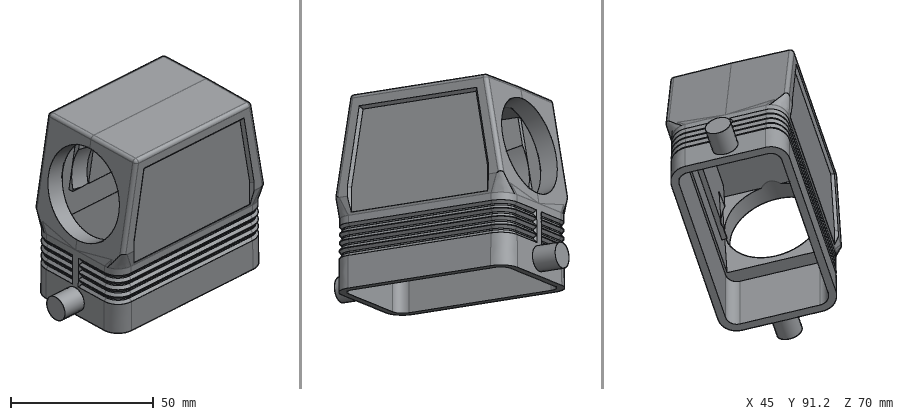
import cadquery as cq
import math


base_width = 43.1
base_length = 72.6
base_radius = 6.8
base_draft = 0.6
collar_top = 26.4

body_width = 45.0
body_top = 70.0
end_lean = 10.0
side_draft = 0.5
body_fillet = 1.5
shoulder_rise = 6.7
shoulder_radius = 2.4
shoulder_end_slope = 0.17
brow_slope = 0.22

groove_count = 4
groove_pitch = 3.0
lowest_groove = 13.3
groove_mouth = 2.8
groove_floor = 0.55
groove_depth = 0.9
bridge_width = 2.7

panel_top = 65.2
panel_bend = 36.5
panel_floor_bottom = 27.45
panel_top_half = 24.3
panel_bend_half = 29.2
panel_depth = 1.1
panel_wall_angle = 45.0

peg_radius = 4.65
peg_height = 6.4
pegs_span = 91.2

entry_diameter = 35.7
entry_height = 47.9
entry_depth = 19.4

socket_wall = 2.8
socket_radius = 4.1
front_wall = 7.3
back_wall = 3.65
rear_ledge = 20.1
chamber_half = 18.0
chamber_top = 37.4
front_bay_length = 4.7
channel_half = 16.05
rear_channel_half = 12.7
rear_channel_radius = 3.3
ceiling = 63.8
rib_width = 2.7
rib_flare = 0.25
rib_bottom = 13.0
rib_top = 45.1

lean = math.tan(math.radians(end_lean))
collar_inset = collar_top * math.tan(math.radians(base_draft))
collar_width = base_width - 2 * collar_inset
collar_length = base_length - 2 * collar_inset
collar_radius = base_radius - collar_inset


def end_half(z):
    """Distance of the leaning end faces from the middle plane at height z."""
    return collar_length / 2 - (z - collar_top) * lean


def rounded_slab(width, length, radius, z, height, taper=0.0):
    slab = cq.Workplane("XY", origin=(0, 0, z)).sketch().rect(width, length).vertices().fillet(radius)
    return slab.finalize().extrude(height, taper=taper)


def shoulder(rise, end_slope):
    """Block that widens upwards from the collar outline while its corners tighten."""
    side_slope = (body_width - collar_width) / 2 / shoulder_rise
    radius = collar_radius - (collar_radius - shoulder_radius) * rise / shoulder_rise
    lower = cq.Sketch().rect(collar_width, collar_length).vertices().fillet(collar_radius)
    upper = cq.Sketch().rect(collar_width + 2 * side_slope * rise, collar_length - 2 * end_slope * rise)
    upper = upper.vertices().fillet(radius).moved(cq.Location(cq.Vector(0, 0, rise)))
    return cq.Workplane("XY", origin=(0, 0, collar_top)).placeSketch(lower, upper).loft(ruled=True)


def upper_body():
    skirt = 1.8
    low = collar_top - skirt
    outline = [
        (-end_half(low), low),
        (end_half(low), low),
        (end_half(body_top), body_top),
        (-end_half(body_top), body_top),
    ]
    half = cq.Workplane("YZ").polyline(outline).close().extrude(body_width / 2, taper=side_draft)
    off_seam = body_width / 8
    rounded = cq.selectors.BoxSelector(
        (off_seam, -base_length, collar_top), (body_width, base_length, 2 * body_top))
    half = half.edges(rounded).fillet(body_fillet)
    body = half.union(half.mirror("YZ"))

    clip_rise = 1.3 * shoulder_rise
    clip_top = collar_top + clip_rise
    clip = shoulder(clip_rise, shoulder_end_slope).union(
        cq.Workplane("XY", origin=(0, 0, clip_top)).rect(2 * body_width, 2 * base_length).extrude(body_top))
    return body.intersect(clip).union(shoulder(shoulder_rise, brow_slope))


def groove_ring(z):
    """Trapezoidal groove around the collar, centred at height z."""
    inset = z * math.tan(math.radians(base_draft))
    width = base_width - 2 * inset
    length = base_length - 2 * inset
    radius = base_radius - inset
    flank = (groove_mouth - groove_floor) / 2
    flank_angle = math.degrees(math.atan2(groove_depth, flank))
    lower = rounded_slab(width, length, radius, z - groove_mouth / 2, flank, flank_angle)
    upper = rounded_slab(width, length, radius, z + groove_mouth / 2, -flank, flank_angle)
    middle = rounded_slab(width - 2 * groove_depth, length - 2 * groove_depth, radius - groove_depth,
                          z - groove_floor / 2, groove_floor)
    band = cq.Workplane("XY", origin=(0, 0, z - groove_mouth / 2))
    band = band.rect(2 * base_width, 2 * base_length).extrude(groove_mouth)
    return band.cut(lower).cut(middle).cut(upper)


def bridges():
    """Strip at each end, widening inwards, where the grooves stop."""
    outer = base_length / 2 + groove_depth
    inner = base_length / 2 - 2 * groove_depth
    outer_half = bridge_width / 2 - groove_depth
    inner_half = bridge_width / 2 + 2 * groove_depth
    outline = [(-outer_half, outer), (outer_half, outer), (inner_half, inner), (-inner_half, inner)]
    strip = cq.Workplane("XY").polyline(outline).close().extrude(collar_top)
    return strip.union(strip.mirror("XZ"))


def grooved_base():
    base = rounded_slab(base_width, base_length, base_radius, 0, collar_top, base_draft)
    kept = bridges()
    for i in range(groove_count):
        base = base.cut(groove_ring(lowest_groove + i * groove_pitch).cut(kept))
    return base


def side_panel():
    """Sunken panel with sloping walls on the +X side, running out through the shoulder below."""
    low = panel_floor_bottom - panel_depth
    outline = [
        (-panel_bend_half, low),
        (panel_bend_half, low),
        (panel_bend_half, panel_bend),
        (panel_top_half, panel_top),
        (-panel_top_half, panel_top),
        (-panel_bend_half, panel_bend),
    ]
    plane = cq.Workplane("YZ", origin=(body_width / 2, 0, 0))
    return plane.polyline(outline).close().extrude(-panel_depth, taper=panel_wall_angle)


def hollow_block(half_width, top, length=None):
    """Block between the leaning inner end walls; a length limits it, measured from the front wall."""
    def front(z):
        return front_wall - end_half(z)

    def back(z):
        return end_half(z) - back_wall if length is None else front(z) + length

    low = collar_top
    outline = [(front(low), low), (back(low), low), (back(top), top), (front(top), top)]
    return cq.Workplane("YZ").polyline(outline).close().extrude(half_width, both=True)


def back_rib():
    """Upright rib on the leaning back wall, wider towards its root."""
    front = end_half(rib_top) - back_wall
    root = base_length / 2
    front_half = rib_width / 2
    root_half = front_half + rib_flare * (root - front)
    outline = [(-front_half, front), (front_half, front), (root_half, root), (-root_half, root)]
    plane = cq.Workplane("XY", origin=(0, 0, rib_bottom))
    return plane.polyline(outline).close().extrude(rib_top - rib_bottom)


def cavity():
    socket_width = base_width - 2 * socket_wall
    socket_length = base_length - 2 * socket_wall
    socket = rounded_slab(socket_width, socket_length, socket_radius, 0, collar_top)
    front_bay = hollow_block(chamber_half, ceiling, front_bay_length)
    rear_channel = hollow_block(rear_channel_half, ceiling)
    rear_channel = rear_channel.faces(">Y").edges("not |X").fillet(rear_channel_radius)
    before_ledge = cq.Workplane("XY").box(base_width, base_length, body_top, centered=(True, False, False))
    before_ledge = before_ledge.translate((0, rear_ledge - base_length, 0))
    wide_part = hollow_block(chamber_half, chamber_top).union(hollow_block(channel_half, ceiling))
    wide_part = wide_part.intersect(before_ledge)
    return socket.union(wide_part).union(front_bay).union(rear_channel).cut(back_rib())


def cable_entry():
    """Blind bore square to the front face."""
    tilt = math.radians(end_lean)
    inward = cq.Vector(0, math.cos(tilt), -math.sin(tilt))
    lead = 1.8
    start = cq.Vector(0, -end_half(entry_height), entry_height) - inward * lead
    return cq.Workplane(cq.Solid.makeCylinder(entry_diameter / 2, entry_depth + lead, start, inward))


def pegs():
    peg_root = base_length / 2 - socket_wall
    peg = cq.Workplane("XZ", origin=(0, -peg_root, peg_height))
    peg = peg.circle(peg_radius).extrude(pegs_span / 2 - peg_root)
    return peg.union(peg.mirror("XZ"))


panel = side_panel()
result = grooved_base().union(upper_body())
result = result.cut(panel).cut(panel.mirror("YZ"))
result = result.cut(cavity()).cut(cable_entry())
result = result.union(pegs())